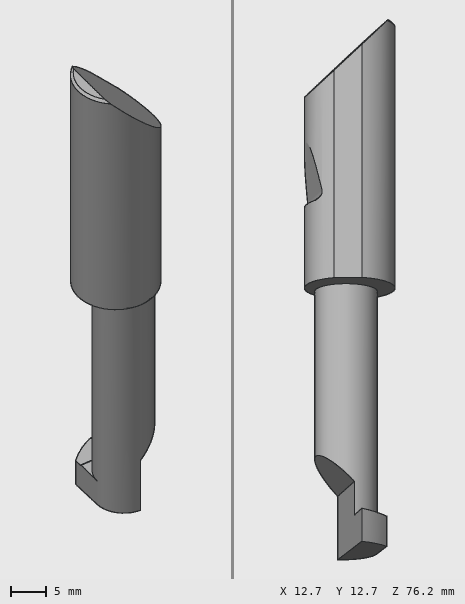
import cadquery as cq
import math

overall_length = 76.2

shank_radius = 12.7 / 2
shank_bottom = overall_length / 2
end_chamfer = 0.4
end_land = 1.9
side_flat_angle = 18

notch_bottom = 49.7
notch_length = 8.9
notch_angle = 9.5
notch_fillet = 1.1

neck_radius = 8.8 / 2
neck_center_x = shank_radius - neck_radius
neck_cut_top = 9.6

tip_height = 4.7625
tip_flank_x = -3.55
tip_step_x = -2.2
tip_flank_radius = 12
relief_angle = 2
relief = math.tan(math.radians(relief_angle))

oversize = 4 * shank_radius


def extrude_along_x(outline):
    """Solid with the given (Y, Z) outline, spanning the whole part in X."""
    return cq.Workplane("YZ").polyline(outline).close().extrude(oversize / 2, both=True)


def make_shank():
    length = overall_length - shank_bottom
    shank = cq.Workplane("XY").workplane(offset=shank_bottom).circle(shank_radius).extrude(length)
    shank = shank.faces(">Z").chamfer(end_chamfer)
    return shank.cut(end_bevel()).cut(side_flat()).cut(clamping_notch())


def end_bevel():
    """45 degree bevel that leaves a narrow land at the -Y side of the top."""
    land_edge_y = end_land - shank_radius
    return extrude_along_x([
        (land_edge_y, overall_length),
        (land_edge_y + oversize, overall_length - oversize),
        (land_edge_y + oversize, overall_length),
    ])


def side_flat():
    """Flat along the shank, on a chord that starts at its -X extreme."""
    angle = math.radians(side_flat_angle)
    chord = 2 * shank_radius * math.sin(angle)
    start = (-shank_radius, 0)
    end = (start[0] + chord * math.sin(angle), chord * math.cos(angle))
    return (
        cq.Workplane("XY").workplane(offset=shank_bottom)
        .polyline([start, end, (start[0], end[1])]).close()
        .extrude(overall_length)
    )


def clamping_notch():
    """Ramp that deepens downward and ends in a rounded step."""
    depth = notch_length * math.tan(math.radians(notch_angle))
    root_y = shank_radius - depth
    notch = extrude_along_x([
        (shank_radius, notch_bottom + notch_length),
        (root_y, notch_bottom),
        (shank_radius, notch_bottom),
    ])
    return notch.edges("|X").edges("<Y").fillet(notch_fillet)


def make_neck():
    neck = cq.Workplane("XY").center(neck_center_x, 0).circle(neck_radius).extrude(shank_bottom)
    run_out = extrude_along_x([
        (0, 0),
        (0, neck_cut_top),
        (oversize, neck_cut_top + oversize),
        (oversize, 0),
    ])
    return neck.cut(run_out)


def make_tip():
    """Tip with a curved flank running from the cutting edge to the front face."""
    front_y = -neck_radius
    edge_point = (-shank_radius, 0)
    flank_end = (tip_flank_x, front_y)
    tip = (
        cq.Workplane("XY").moveTo(*edge_point)
        .radiusArc(flank_end, -tip_flank_radius)
        .lineTo(neck_center_x, front_y)
        .lineTo(neck_center_x, 0)
        .close().extrude(tip_height)
    )
    return tip.cut(top_relief())


def top_relief():
    """Wedge off the outer part of the top of the tip, deepening toward -Y."""
    wedge = extrude_along_x([
        (0, tip_height),
        (-oversize, tip_height - oversize * relief),
        (-oversize, tip_height),
    ])
    outer_part = (
        cq.Workplane("YZ").workplane(offset=tip_step_x)
        .rect(2 * oversize, 2 * oversize).extrude(-oversize)
    )
    return wedge.intersect(outer_part)


def bottom_relief():
    """Body under the inclined end face, which rises from the cutting point toward +X and -Y."""
    end_plane = cq.Plane(
        origin=(-shank_radius, 0, 0), xDir=(1, 0, relief), normal=(-relief, relief, 1)
    )
    return cq.Workplane(end_plane).rect(2 * oversize, 2 * oversize).extrude(-oversize)


result = make_shank().union(make_neck()).union(make_tip()).cut(bottom_relief())